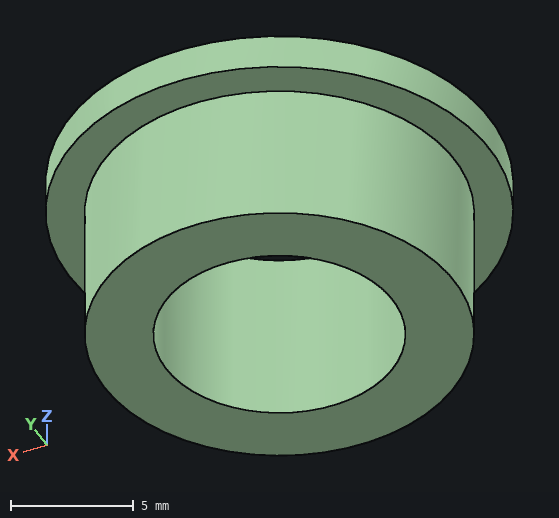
import cadquery as cq

flange_diameter = 19.05
body_diameter = 15.87
bore_diameter = 10.27
total_height = 7.95
flange_thickness = 1.6

body_height = total_height - flange_thickness

body = cq.Workplane("XY").circle(body_diameter / 2).extrude(body_height)

flange = (
    cq.Workplane("XY")
    .workplane(offset=body_height)
    .circle(flange_diameter / 2)
    .extrude(flange_thickness)
)

bore = cq.Workplane("XY").circle(bore_diameter / 2).extrude(total_height)

result = body.union(flange).cut(bore)